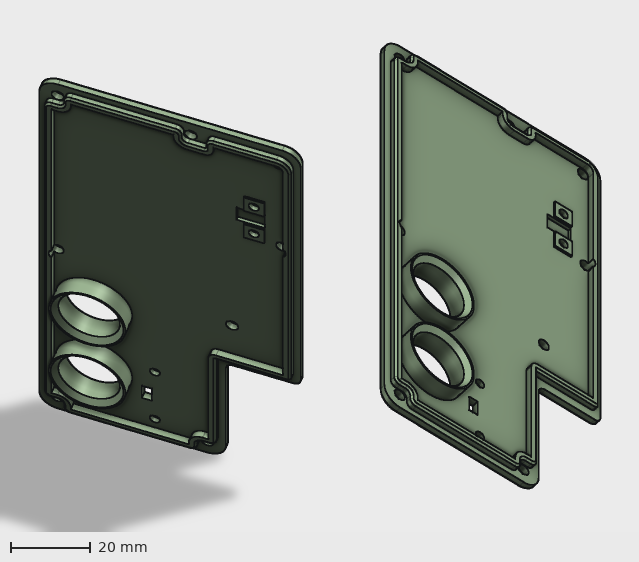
import cadquery as cq

width = 70.0
height = 135.0
foot_width = 50.0
step_height = 39.4
plate_thickness = 2.0
back_chamfer = 0.4
corner_radius = 5.0
step_outer_radius = 2.0
step_inner_radius = 2.0

rim_top = 4.0
rim_wall = 2.0
rim_margin = 2.0
rim_wide_margin = 2.5
rim_step_margin = 2.95
rim_chamfer = 0.6
rim_corner_radius = 4.0
rim_step_radius = 1.0

screw_diameter = 3.3
screw_inset_x = 4.95
screw_inset_z = 4.7
bay_reach_x = 7.2
bay_reach_z = 6.45
bay_radius = 1.65
bay_end_radius = 0.5
bay_edge_radius = 1.8
middle_screw_x = 40.6
middle_bay_left = 38.7
middle_bay_right = 45.3

inner_holes = [(4.93, 66.35), (51.65, 55.95), (64.3, 128.55), (65.1, 94.95)]

collar_diameter = 20.5
collar_bore = 16.5
collar_mouth = 19.5
collar_mouth_depth = 1.5
collar_top = 7.0
collar_x = 14.67
collar_heights = [21.85, 47.7]

slot_width = 2.7
slot_height = 5.0
slot_center = (28.85, 17.25)
slot_hole_diameter = 2.7
slot_hole_x = 30.97
slot_hole_heights = [7.5, 27.05]
blind_depth = 1.5

clip_right = 60.4
clip_center_z = 103.1
pad_size = 5.5
pad_spacing = 11.1
pad_rise = 0.5
pad_hole_diameter = 2.75
pocket_width = 7.6
pocket_height = 5.0
pocket_depth = 1.0


def sketch_at(depth):
    """Workplane facing -Y, at a distance in front of the outside face."""
    return cq.Workplane("XZ", origin=(0, -depth, 0))


def round_corners(body, corners, radius):
    """Fillet the edges along Y that pass through the given (x, z) corners."""
    reach = 0.01
    for x, z in corners:
        box = cq.selectors.BoxSelector(
            (x - reach, -rim_top, z - reach), (x + reach, rim_top, z + reach)
        )
        body = body.edges("|Y").edges(box).fillet(radius)
    return body


def make_plate():
    outline = [
        (0, 0),
        (foot_width, 0),
        (foot_width, step_height),
        (width, step_height),
        (width, height),
        (0, height),
    ]
    foot_left, foot_right, step_inner, step_outer, top_right, top_left = outline
    plate = sketch_at(0).polyline(outline).close().extrude(plate_thickness)
    large = [foot_left, foot_right, top_right, top_left]
    plate = round_corners(plate, large, corner_radius)
    plate = round_corners(plate, [step_outer], step_outer_radius)
    plate = round_corners(plate, [step_inner], step_inner_radius)
    return plate.faces(">Y").edges().chamfer(back_chamfer)


def make_rim():
    left = bottom = rim_margin
    foot_right = foot_width - rim_margin
    step_z = step_height + rim_step_margin
    right = width - rim_margin
    top_right = height - rim_wide_margin
    top_left = height - rim_margin
    bay_floor = height - bay_reach_z
    foot_bay = foot_width - bay_reach_x

    foot_right_bay = [
        (foot_bay, bottom),
        (foot_bay, bay_reach_z),
        (foot_right, bay_reach_z),
    ]
    middle_bay = [
        (middle_bay_right, top_right),
        (middle_bay_right, bay_floor),
        (middle_bay_left, bay_floor),
        (middle_bay_left, top_left),
    ]
    top_left_bay = [
        (bay_reach_x, top_left),
        (bay_reach_x, bay_floor),
        (left, bay_floor),
    ]
    foot_left_bay = [
        (left, bay_reach_z),
        (bay_reach_x, bay_reach_z),
        (bay_reach_x, bottom),
    ]
    step_inner = (foot_right, step_z)
    step_outer = (right, step_z)
    top_corner = (right, top_right)

    bays = [foot_right_bay, middle_bay, top_left_bay, foot_left_bay]
    outline = foot_right_bay + [step_inner, step_outer, top_corner]
    outline += middle_bay + top_left_bay + foot_left_bay
    bay_corners = [bay[-2] for bay in bays]
    bay_edges = [bay[end] for bay in bays for end in (0, -1)]
    middle_bay_end = middle_bay[1]

    rim_height = rim_top - plate_thickness
    core = sketch_at(plate_thickness).polyline(outline).close().extrude(rim_height)
    core = round_corners(core, bay_corners, bay_radius)
    core = round_corners(core, [middle_bay_end], bay_end_radius)
    core = round_corners(core, bay_edges, bay_edge_radius)
    core = round_corners(core, [step_outer], rim_step_radius)
    core = round_corners(core, [top_corner], rim_corner_radius)

    inner_wire = core.faces(">Y").wires().val().offset2D(-rim_wall)[0]
    hollow = cq.Workplane(
        cq.Solid.extrudeLinear(inner_wire, [], cq.Vector(0, -rim_height, 0))
    )
    core = core.faces("<Y").edges().chamfer(rim_chamfer)
    return core.cut(hollow)


def drill(body, points, diameter, top, depth):
    """Cut round holes of the given depth, starting at the given level."""
    drills = sketch_at(top - depth).pushPoints(points).circle(diameter / 2).extrude(depth)
    return body.cut(drills)


def add_collars(body):
    points = [(collar_x, z) for z in collar_heights]
    collars = (
        sketch_at(0).pushPoints(points).circle(collar_diameter / 2).extrude(collar_top)
    )
    body = body.union(collars)
    body = drill(body, points, collar_bore, collar_top, collar_top)
    for x, z in points:
        mouth = cq.Solid.makeCone(
            collar_mouth / 2,
            collar_bore / 2,
            collar_mouth_depth,
            pnt=cq.Vector(x, -collar_top, z),
            dir=cq.Vector(0, 1, 0),
        )
        body = body.cut(cq.Workplane(mouth))
    return body


def add_clip_seat(body):
    pad_x = clip_right - pad_size / 2
    pad_points = [(pad_x, clip_center_z + side * pad_spacing / 2) for side in (-1, 1)]
    pads = (
        sketch_at(plate_thickness).pushPoints(pad_points)
        .rect(pad_size, pad_size).extrude(pad_rise)
    )
    body = body.union(pads)
    pocket = (
        sketch_at(plate_thickness - pocket_depth)
        .center(clip_right - pocket_width / 2, clip_center_z)
        .rect(pocket_width, pocket_height)
        .extrude(pocket_depth)
    )
    body = body.cut(pocket)
    pad_top = plate_thickness + pad_rise
    return drill(body, pad_points, pad_hole_diameter, pad_top, blind_depth)


def cut_slot(body):
    slot = (
        sketch_at(0).center(*slot_center)
        .rect(slot_width, slot_height).extrude(plate_thickness)
    )
    body = body.cut(slot)
    points = [(slot_hole_x, z) for z in slot_hole_heights]
    return drill(body, points, slot_hole_diameter, plate_thickness, blind_depth)


def cut_through_holes(body):
    cover_screws = [
        (screw_inset_x, screw_inset_z),
        (foot_width - screw_inset_x, screw_inset_z),
        (screw_inset_x, height - screw_inset_z),
        (middle_screw_x, height - screw_inset_z),
    ]
    return drill(body, cover_screws + inner_holes, screw_diameter, rim_top, rim_top)


result = make_plate().union(make_rim())
result = add_collars(result)
result = add_clip_seat(result)
result = cut_slot(result)
result = cut_through_holes(result)